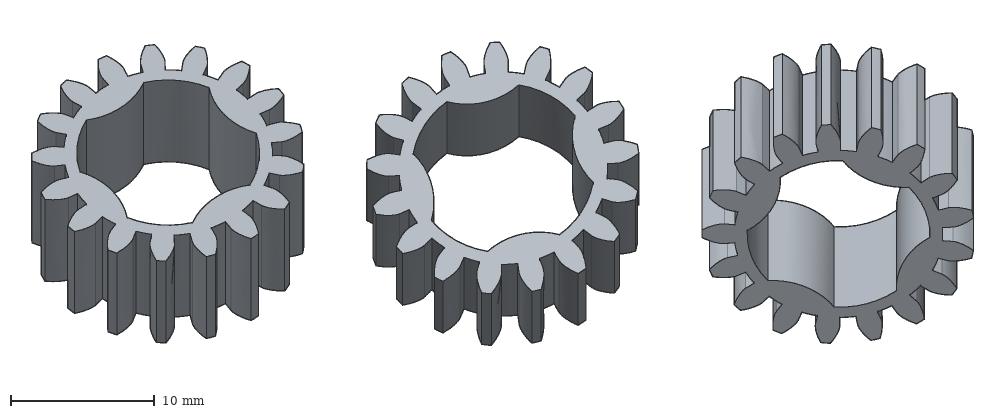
import cadquery as cq
import math

tooth_count = 17
pressure_angle = math.radians(20)
dedendum_factor = 1.25
span_y = 18.97
height = 9.37

bore_radius = 6.35
lobe_count = 4
lobe_radius = 5.2
lobe_clearance = 5.12

flank_steps = 8


def involute(angle):
    """Involute function of a pressure angle."""
    return math.tan(angle) - angle


def polar(radius, angle):
    """Cartesian point from a radius and an angle in radians."""
    return (radius * math.cos(angle), radius * math.sin(angle))


tooth_pitch = 2 * math.pi / tooth_count
base_half_angle = tooth_pitch / 4 + involute(pressure_angle)
tip_pressure_angle = math.acos(tooth_count * math.cos(pressure_angle) / (tooth_count + 2))
tip_half_angle = base_half_angle - involute(tip_pressure_angle)

top_tooth = tooth_count // 4
top_corner_angle = top_tooth * tooth_pitch + tip_half_angle

outer_radius = span_y / 2 / math.sin(top_corner_angle)
module = 2 * outer_radius / (tooth_count + 2)
pitch_radius = module * tooth_count / 2
base_radius = pitch_radius * math.cos(pressure_angle)
root_radius = pitch_radius - dedendum_factor * module


def flank_points():
    """Radius and half angle along one involute flank, from base to tip."""
    points = []
    for step in range(flank_steps + 1):
        radius = base_radius + (outer_radius - base_radius) * step / flank_steps
        angle = math.acos(min(1.0, base_radius / radius))
        points.append((radius, base_half_angle - involute(angle)))
    return points


def gear_blank():
    """Toothed disc: radial lower flanks, involute upper flanks, round tips and roots."""
    flank = flank_points()
    outline = cq.Workplane("XY").moveTo(*polar(root_radius, -base_half_angle))
    for tooth in range(tooth_count):
        centre = tooth * tooth_pitch
        rising = [polar(radius, centre - half) for radius, half in flank]
        falling = [polar(radius, centre + half) for radius, half in reversed(flank)]
        root_start = polar(root_radius, centre + base_half_angle)
        root_middle = polar(root_radius, centre + tooth_pitch / 2)
        root_end = polar(root_radius, centre + tooth_pitch - base_half_angle)
        outline = (
            outline.lineTo(*rising[0])
            .spline(rising[1:], includeCurrent=True)
            .threePointArc(polar(outer_radius, centre), falling[0])
            .spline(falling[1:], includeCurrent=True)
            .lineTo(*root_start)
            .threePointArc(root_middle, root_end)
        )
    return outline.close().extrude(height)


def bore():
    """Round hole with the lobes left standing inside it."""
    lobes = (
        cq.Workplane("XY")
        .polarArray(lobe_clearance + lobe_radius, 0, 360, lobe_count)
        .circle(lobe_radius)
        .extrude(height)
    )
    return cq.Workplane("XY").circle(bore_radius).extrude(height).cut(lobes)


result = gear_blank().cut(bore())